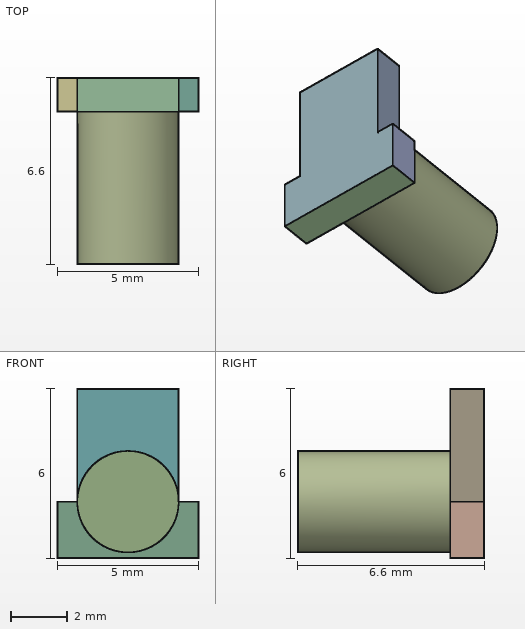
import cadquery as cq

total_length = 6.6
plate_thickness = 1.2
foot_width = 5.0
foot_height = 2.0
plate_height = 6.0
pin_diameter = 3.6
stem_width = pin_diameter

pin_length = total_length - plate_thickness

foot = cq.Workplane("XY").box(
    foot_width, plate_thickness, foot_height, centered=(True, False, False)
)
upright = cq.Workplane("XY").box(
    stem_width, plate_thickness, plate_height, centered=(True, False, False)
)
plate = foot.union(upright).translate((0, 0, -foot_height))

pin = cq.Workplane("XZ").circle(pin_diameter / 2).extrude(pin_length)

result = plate.union(pin)